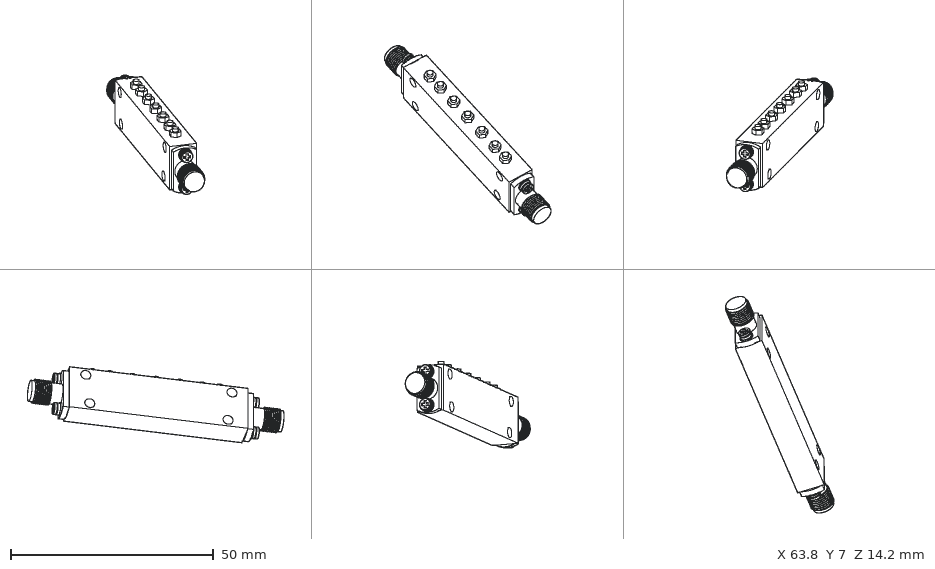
import cadquery as cq


body_length = 45.2
body_width = 7.0
body_top = 6.2
body_bottom = -5.4

mount_hole_diameter = 2.5
upper_hole_x, upper_hole_z = 18.5, 4.4
lower_hole_x, lower_hole_z = 17.5, -3.65

tuner_offsets = (6.0, 11.7, 16.1)
nut_across_corners = 3.0
nut_height = 1.2
pin_diameter = 1.5
pin_height = 0.8

flange_thickness = 1.5
flange_radius = 6.0
flange_width = 6.0

overall_length = 63.8
barrel_radius = 2.65
thread_radius = 3.02
thread_pitch = 0.53
thread_length = 4.1
thread_lead_in = 0.85
thread_root_radius = 2.72
ridge_base_width = 0.5
thread_sink = 0.05

screw_spacing = 8.5
flat_washer_radius = 1.65
flat_washer_thickness = 0.35
lock_washer_radius = 1.5
lock_washer_thickness = 0.6
head_radius = 1.5
head_height = 0.9
head_chamfer = 0.12
seam_depth = 0.15
seam_width = 0.2
recess_span = 1.75
recess_arm_width = 0.58
recess_depth = 0.5

flange_inner_x = body_length / 2
flange_outer_x = flange_inner_x + flange_thickness
barrel_end_x = overall_length / 2
thread_end_x = barrel_end_x - thread_lead_in
thread_start_x = thread_end_x - thread_length


def rod(start_x, length, radius, z=0.0):
    """Cylinder along +X."""
    return cq.Workplane("YZ", origin=(start_x, 0, z)).circle(radius).extrude(length)


def make_body():
    height = body_top - body_bottom
    body = cq.Workplane("XY", origin=(0, 0, body_bottom)).box(
        body_length, body_width, height, centered=(True, True, False)
    )
    hole_points = []
    for side in (-1, 1):
        hole_points.append((side * upper_hole_x, upper_hole_z))
        hole_points.append((side * lower_hole_x, lower_hole_z))
    holes = (
        cq.Workplane("XZ")
        .pushPoints(hole_points)
        .circle(mount_hole_diameter / 2)
        .extrude(body_width, both=True)
    )
    return body.cut(holes)


def make_tuner(x):
    nut = cq.Workplane("XY", origin=(x, 0, body_top)).polygon(6, nut_across_corners).extrude(nut_height)
    return nut.faces(">Z").workplane().circle(pin_diameter / 2).extrude(pin_height)


def make_flange():
    disc = rod(flange_inner_x, flange_thickness, flange_radius)
    strip = cq.Workplane("XY").box(overall_length, flange_width, 2 * flange_radius)
    return disc.intersect(strip)


def make_thread():
    """Threaded sleeve: a core with a sharp helical ridge, both cut square at the ends."""
    base_radius = thread_root_radius - thread_sink
    path = cq.Wire.makeHelix(thread_pitch, thread_length + 2 * thread_pitch, base_radius)
    ridge = (
        cq.Workplane("XZ")
        .polyline([
            (base_radius, -ridge_base_width / 2),
            (thread_radius, 0),
            (base_radius, ridge_base_width / 2),
        ])
        .close()
        .sweep(cq.Workplane(path), isFrenet=True)
        .rotate((0, 0, 0), (0, 1, 0), 90)
        .translate((thread_start_x - thread_pitch, 0, 0))
    )
    core_overhang = 2 * thread_pitch
    core = rod(thread_start_x - core_overhang, thread_length + 2 * core_overhang, thread_root_radius)
    trim_size = 4 * thread_radius
    trim = cq.Workplane("YZ", origin=(thread_start_x, 0, 0)).rect(trim_size, trim_size).extrude(thread_length)
    return core.union(ridge).intersect(trim)


def make_flange_screw(z):
    lock_washer_x = flange_outer_x + flat_washer_thickness
    head_x = lock_washer_x + lock_washer_thickness
    head_end_x = head_x + head_height
    flat_washer = rod(flange_outer_x, flat_washer_thickness, flat_washer_radius, z)
    lock_washer = rod(lock_washer_x, lock_washer_thickness, lock_washer_radius, z)
    neck = rod(head_x, seam_width, head_radius - seam_depth, z)
    head = rod(head_x + seam_width, head_height - seam_width, head_radius, z)
    head = head.faces(">X").chamfer(head_chamfer)
    recess = (
        cq.Workplane("YZ", origin=(head_end_x, 0, z))
        .rect(recess_span, recess_arm_width)
        .extrude(-recess_depth)
        .union(
            cq.Workplane("YZ", origin=(head_end_x, 0, z))
            .rect(recess_arm_width, recess_span)
            .extrude(-recess_depth)
        )
    )
    return flat_washer.union(lock_washer).union(neck).union(head).cut(recess)


def make_connector():
    """Connector on the +X end."""
    connector = make_flange()
    for side in (-1, 1):
        connector = connector.union(make_flange_screw(side * screw_spacing / 2))
    barrel = rod(flange_outer_x, barrel_end_x - flange_outer_x, barrel_radius)
    threaded_barrel = barrel.union(make_thread())
    return connector.union(threaded_barrel)


result = make_body()
result = result.union(make_tuner(0.0))
for tuner_x in tuner_offsets:
    result = result.union(make_tuner(tuner_x))
    result = result.union(make_tuner(-tuner_x))

right_connector = make_connector()
left_connector = right_connector.rotate((0, 0, 0), (0, 0, 1), 180)
result = result.union(right_connector).union(left_connector)